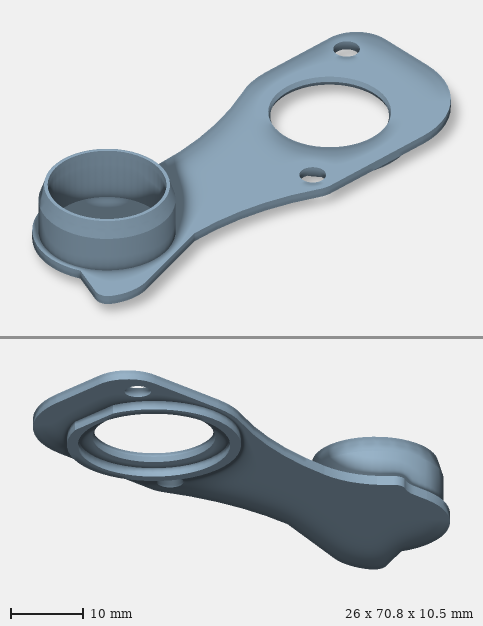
import cadquery as cq
import math

collar_height = 1.3
plate_thickness = 1.35
cup_straight_height = 5.3
cup_taper_height = 2.5

half_width = 13.0
top_edge_y = 17.55
small_corner_radius = 5.4
large_corner_radius = 12.0
tip_y = -53.2

bore_edge_radius = 8.5
bore_throat_radius = 8.2
collar_inner_radius = 10.55
collar_radius = 12.0
collar_flat_y = 11.4

screw_hole_radius = 1.85
screw_hole_x = 9.5
screw_hole_y = 12.0

cup_y = -42.0
cup_radius = 9.5
cup_rim_radius = 8.7
cup_inner_radius = 8.2


def corner_middle(corner_x, radius):
    """Middle point of a round upper corner of the plate."""
    inset = radius * (1 - math.sqrt(0.5))
    side = math.copysign(1, corner_x)
    return (corner_x - side * inset, top_edge_y - inset)


def revolve_about_z(profile):
    """Solid of revolution from (radius, height) points."""
    return cq.Workplane("XZ").polyline(profile).close().revolve(360, (0, 0, 0), (0, 1, 0))


def make_plate():
    outline = (
        cq.Workplane("XY")
        .moveTo(-half_width, 0)
        .lineTo(-half_width, top_edge_y - small_corner_radius)
        .threePointArc(
            corner_middle(-half_width, small_corner_radius),
            (-half_width + small_corner_radius, top_edge_y),
        )
        .lineTo(half_width - large_corner_radius, top_edge_y)
        .threePointArc(
            corner_middle(half_width, large_corner_radius),
            (half_width, top_edge_y - large_corner_radius),
        )
        .lineTo(half_width, -screw_hole_y)
        .threePointArc((12.9, -12.95), (12.6, -13.7))
        .threePointArc((9.7, -22.2), (8.6, -33.5))
        .lineTo(12.45, -45.85)
        .threePointArc((12.8, -49.4), (11.7, -52.5))
        .threePointArc((10.25, tip_y), (9.3, -53.0))
        .lineTo(4.45, -51.2)
        .threePointArc((-7.4, -49.2), (-10.55, -41.95))
        .lineTo(-10.55, -39.9)
        .threePointArc((-10.7, -38.35), (-11.4, -36.85))
        .threePointArc((-11.45, -36.0), (-11.1, -35.2))
        .lineTo(-9.5, -33.45)
        .threePointArc((-7.6, -29.9), (-6.9, -25.9))
        .threePointArc((-8.0, -16.05), (-11.6, -5.7))
        .threePointArc((-12.65, -2.9), (-half_width, 0))
        .close()
    )
    return outline.extrude(plate_thickness)


def make_collar():
    collar = cq.Workplane("XY").circle(collar_radius).extrude(-collar_height)
    collar_length = collar_radius + collar_flat_y
    flat_limit = (
        cq.Workplane("XY")
        .center(0, collar_flat_y - collar_length / 2)
        .rect(2 * collar_radius, collar_length)
        .extrude(-collar_height)
    )
    socket = cq.Workplane("XY").circle(collar_inner_radius).extrude(-collar_height)
    return collar.intersect(flat_limit).cut(socket)


def make_cup():
    straight_top = plate_thickness + cup_straight_height
    rim = straight_top + cup_taper_height
    profile = [
        (cup_inner_radius, plate_thickness),
        (cup_radius, plate_thickness),
        (cup_radius, straight_top),
        (cup_rim_radius, rim),
        (cup_inner_radius, rim),
    ]
    return revolve_about_z(profile).translate((0, cup_y, 0))


def make_bore():
    """Hourglass cutter: a cone from each face of the plate to the throat."""
    profile = [
        (0, 0),
        (bore_edge_radius, 0),
        (bore_throat_radius, plate_thickness / 2),
        (bore_edge_radius, plate_thickness),
        (0, plate_thickness),
    ]
    return revolve_about_z(profile)


body = make_plate().union(make_collar()).union(make_cup())

screw_holes = (
    cq.Workplane("XY")
    .pushPoints([(-screw_hole_x, screw_hole_y), (screw_hole_x, -screw_hole_y)])
    .circle(screw_hole_radius)
    .extrude(plate_thickness)
)

result = body.cut(make_bore()).cut(screw_holes)